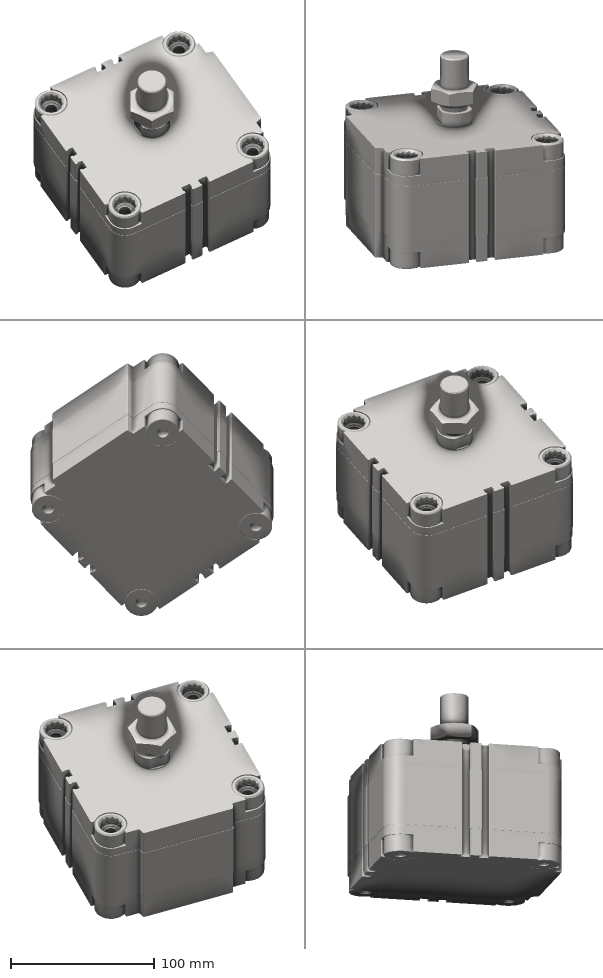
import cadquery as cq
import math

body_width = 128.0
body_height = 81.5
cap_height = 19.4
cap_inset = 0.2
screw_pitch = 103.0
ear_height = 5.0
ear_top_width = 67.8
ear_base_width = 70.4
ear_round = 1.0

slot_depth = 5.7
lip_thickness = 2.1
lip_round = 0.5
cavity_inner = 3.3
cavity_outer = 10.1
mouth_inner_barrel = 4.3
mouth_inner_cap = 3.9
mouth_outer = 9.5

recess_depth = 12.3
recess_edge = 44.9
head_diameter = 23.0
head_top_chamfer = 1.0
head_bottom_chamfer = 0.3
socket_rim_diameter = 18.16
socket_diameter = 16.5
socket_depth = 6.4
relief_diameter = 15.4
relief_depth = 7.6
bore_rim_diameter = 11.45
bore_rim_depth = 0.6
thread_core_diameter = 8.38
thread_core_depth = 20.0
through_diameter = 8.0

rod_diameter = 25.0
rod_flats = 22.0
flats_start = body_height + 0.8
collar_top = body_height + 10.4
neck_diameter = 18.38
thread_diameter = 20.0
thread_start = collar_top + 3.2
rod_top = body_height + 50.0

nut_flats = 30.0
nut_height = 10.4
nut_bottom = body_height + 16.8
nut_face_diameter = 29.2
nut_chamfer_angle = 18.0

margin = 1.0
hexagon_turn = 30.0

half_width = body_width / 2
half_pitch = screw_pitch / 2
corner_radius = half_width - half_pitch
screw_points = [(x, y) for x in (-half_pitch, half_pitch) for y in (-half_pitch, half_pitch)]


def slot_cutter(height, mouth_inner):
    """One undercut slot at the -Y side, to the +X side of the middle, with rounded lips."""
    face = -half_width - margin
    lip_edge = -half_width + lip_round
    lip_back = -half_width + lip_thickness
    floor = -half_width + slot_depth
    outline = (
        cq.Workplane("XY")
        .moveTo(mouth_inner - lip_round, face)
        .lineTo(mouth_inner - lip_round, -half_width)
        .radiusArc((mouth_inner, lip_edge), lip_round)
        .lineTo(mouth_inner, lip_back)
        .lineTo(cavity_inner, lip_back)
        .lineTo(cavity_inner, floor)
        .lineTo(cavity_outer, floor)
        .lineTo(cavity_outer, lip_back)
        .lineTo(mouth_outer, lip_back)
        .lineTo(mouth_outer, lip_edge)
        .radiusArc((mouth_outer + lip_round, -half_width), lip_round)
        .lineTo(mouth_outer + lip_round, face)
        .close()
    )
    return outline.extrude(height)


def profile_block(height, inset, mouth_inner):
    """Square block with round corners, the pad at +Y and a pair of slots on the other sides."""
    side = half_width - inset
    block = cq.Workplane("XY").rect(2 * side, 2 * side).extrude(height)
    block = block.edges("|Z").fillet(corner_radius - inset)
    base = ear_base_width / 2 - inset
    top = ear_top_width / 2 - inset
    ear_root = side - ear_height
    ear = (
        cq.Workplane("XY")
        .polyline([(-base, ear_root), (-base, side), (-top, side + ear_height),
                   (top, side + ear_height), (base, side), (base, ear_root)])
        .close()
        .extrude(height)
    )
    block = block.union(ear)
    ear_zone = cq.selectors.BoxSelector(
        (-half_pitch + margin, side - margin, -margin),
        (half_pitch - margin, side + ear_height + margin, height + margin),
    )
    block = block.edges("|Z").edges(ear_zone).fillet(ear_round)
    slot = slot_cutter(height, mouth_inner)
    slot_pair = slot.union(slot.mirror("YZ"))
    for angle in (-90, 0, 90):
        block = block.cut(slot_pair.rotate((0, 0, 0), (0, 0, 1), angle))
    return block


def corner_recesses(bottom):
    """Square notches that bare the outer corners of one cap around the screw heads."""
    size = half_width - recess_edge
    middle = recess_edge + size / 2
    points = [(math.copysign(middle, x), math.copysign(middle, y)) for x, y in screw_points]
    return (
        cq.Workplane("XY", origin=(0, 0, bottom))
        .pushPoints(points)
        .rect(size, size)
        .extrude(recess_depth)
    )


def screw_heads(bottom, chamfered_face, chamfer):
    """Round heads of the four corner screws, flush with the end face and part of the housing."""
    heads = cq.Workplane("XY", origin=(0, 0, bottom)).pushPoints(screw_points)
    heads = heads.circle(head_diameter / 2).extrude(recess_depth)
    return heads.faces(chamfered_face).chamfer(chamfer)


def head_grooves(bottom, heads):
    """Room around the chamfered heads where they stand inside the cap."""
    rooms = cq.Workplane("XY", origin=(0, 0, bottom)).pushPoints(screw_points)
    return rooms.circle(head_diameter / 2).extrude(recess_depth).cut(heads)


def screw_opening():
    """Stepped opening from the top face: countersink, twelve-point socket, stepped bore."""
    rim_radius = socket_rim_diameter / 2
    socket_radius = socket_diameter / 2
    hexagon_radius = socket_radius * math.cos(math.radians(hexagon_turn))
    core_radius = thread_core_diameter / 2
    bore_radius = through_diameter / 2
    floor = body_height - relief_depth
    teeth_end = body_height - socket_depth
    relief_radius = relief_diameter / 2
    countersink_end = body_height - (rim_radius - hexagon_radius)
    core_start = floor - bore_rim_depth
    bore_rim_radius = bore_rim_diameter / 2
    opening = (
        cq.Workplane("XZ")
        .polyline([(0, body_height), (rim_radius, body_height),
                   (hexagon_radius, countersink_end), (hexagon_radius, teeth_end),
                   (relief_radius, teeth_end), (relief_radius, floor),
                   (bore_rim_radius, floor), (bore_rim_radius, core_start), (core_radius, core_start),
                   (core_radius, body_height - thread_core_depth),
                   (bore_radius, body_height - thread_core_depth), (bore_radius, 0), (0, 0)])
        .close()
        .revolve(360, (0, 0, 0), (0, 1, 0))
    )
    for angle in (0, hexagon_turn):
        hexagon = cq.Workplane("XY", origin=(0, 0, teeth_end)).polygon(6, socket_diameter)
        hexagon = hexagon.extrude(socket_depth)
        opening = opening.union(hexagon.rotate((0, 0, 0), (0, 0, 1), angle))
    return opening


def make_housing():
    """Barrel between two end caps, with screw heads at the corners and a blind hole for the rod."""
    barrel_height = body_height - 2 * cap_height
    cap = profile_block(cap_height, cap_inset, mouth_inner_cap)
    barrel = profile_block(barrel_height, 0, mouth_inner_barrel)
    housing = cap.union(barrel.translate((0, 0, cap_height)))
    housing = housing.union(cap.translate((0, 0, body_height - cap_height)))

    upper = body_height - recess_depth
    for bottom, face, chamfer in ((0, "<Z", head_bottom_chamfer), (upper, ">Z", head_top_chamfer)):
        heads = screw_heads(bottom, face, chamfer)
        housing = housing.cut(corner_recesses(bottom)).cut(head_grooves(bottom, heads))
        housing = housing.union(heads)

    opening = screw_opening()
    for x, y in screw_points:
        housing = housing.cut(opening.translate((x, y, 0)))

    rod_hole = cq.Workplane("XY", origin=(0, 0, body_height - cap_height))
    return housing.cut(rod_hole.circle(rod_diameter / 2).extrude(cap_height))


def make_rod():
    """Turned rod that fills the hole of the upper cap, with two spanner flats facing -Y and +Y."""
    rod_radius = rod_diameter / 2
    neck_radius = neck_diameter / 2
    thread_radius = thread_diameter / 2
    thread_chamfer = thread_radius - neck_radius
    rod = (
        cq.Workplane("XZ")
        .polyline([(0, body_height - cap_height), (rod_radius, body_height - cap_height),
                   (rod_radius, collar_top), (neck_radius, collar_top),
                   (neck_radius, thread_start), (thread_radius, thread_start + thread_chamfer),
                   (thread_radius, rod_top - thread_chamfer), (neck_radius, rod_top),
                   (0, rod_top)])
        .close()
        .revolve(360, (0, 0, 0), (0, 1, 0))
    )
    cut_depth = rod_diameter - rod_flats
    flats = (
        cq.Workplane("XY", origin=(0, 0, flats_start))
        .pushPoints([(0, side * (rod_flats + cut_depth) / 2) for side in (-1, 1)])
        .rect(rod_diameter, cut_depth)
        .extrude(collar_top - flats_start)
    )
    return rod.cut(flats)


def make_nut():
    """Hexagon nut with corners along Y, chamfered on both faces."""
    corner_diameter = nut_flats / math.cos(math.radians(hexagon_turn))
    face_radius = nut_face_diameter / 2
    rim_radius = corner_diameter / 2
    drop = (rim_radius - face_radius) * math.tan(math.radians(nut_chamfer_angle))
    nut_top = nut_bottom + nut_height
    nut = cq.Workplane("XY", origin=(0, 0, nut_bottom)).polygon(6, corner_diameter)
    nut = nut.extrude(nut_height).rotate((0, 0, 0), (0, 0, 1), hexagon_turn)
    envelope = (
        cq.Workplane("XZ")
        .polyline([(0, nut_bottom), (face_radius, nut_bottom), (rim_radius, nut_bottom + drop),
                   (rim_radius, nut_top - drop), (face_radius, nut_top), (0, nut_top)])
        .close()
        .revolve(360, (0, 0, 0), (0, 1, 0))
    )
    bore = cq.Workplane("XY", origin=(0, 0, nut_bottom)).circle(thread_diameter / 2)
    return nut.intersect(envelope).cut(bore.extrude(nut_height))


housing = make_housing()
rod = make_rod()
nut = make_nut()

result = cq.Compound.makeCompound([housing.val(), rod.val(), nut.val()])